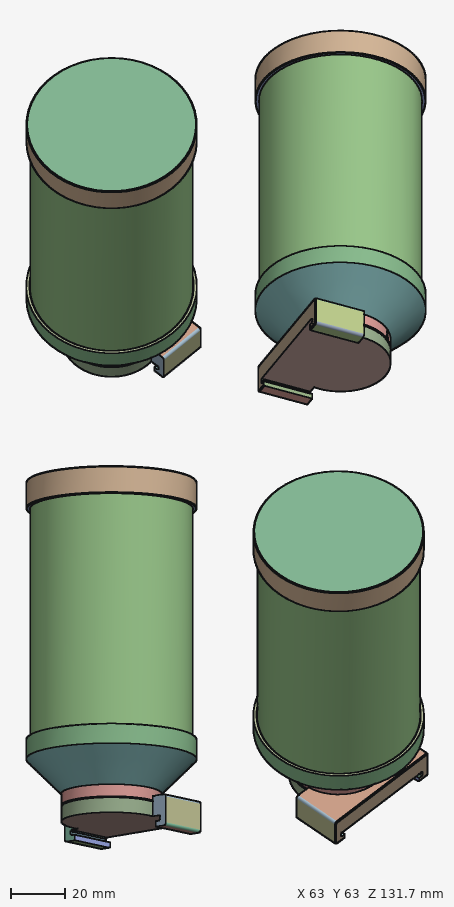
import cadquery as cq

total_height = 131.7
outer_diameter = 63.0
socket_diameter = 60.2
tube_clearance = 0.2
tube_diameter = socket_diameter - tube_clearance
socket_depth = 7.2
neck_diameter = 37.0

cap_bottom = 121.5
collar_top = 34.9
collar_bottom = 27.5
cone_bottom = 14.6
seam_height = 9.7
base_bottom = 4.1

cap_top_chamfer = 0.4
cap_bottom_chamfer = 0.3
collar_mouth_chamfer = 0.3

seam_gap = 0.4
seam_depth = 0.4

bracket_width = 49.8
bracket_top = 11.7
bracket_front = 2.1
bracket_back = 22.0
bracket_edge = 1.0
back_chamfer = 0.4
hook_top = 2.1
hook_opening = 39.8
slot_width = 44.0
slot_chamfer = 0.5

arrow_angle = 45.0
arrow_top = 14.0
arrow_tip = 10.3
arrow_head_height = 1.2
arrow_head_width = 1.6
arrow_stem_width = 0.33
arrow_depth = 0.3


def cylinder(diameter, bottom, top):
    """Upright cylinder on the common axis."""
    return cq.Workplane("XY").workplane(offset=bottom).circle(diameter / 2).extrude(top - bottom)


def make_cap():
    """Flat lid with chamfered rims and a socket for the tube below."""
    lid = (
        cylinder(outer_diameter, cap_bottom, total_height)
        .faces(">Z")
        .chamfer(cap_top_chamfer)
        .faces("<Z")
        .chamfer(cap_bottom_chamfer)
    )
    return lid.cut(cylinder(socket_diameter, cap_bottom, cap_bottom + socket_depth))


def make_tube():
    """Plain barrel that stands on the collar socket floor and fills the height of both sockets."""
    return cylinder(tube_diameter, collar_top - socket_depth, cap_bottom + socket_depth)


def make_arrow_cutter():
    """Arrow prism that reaches arrow_depth below the surface of the neck."""
    stem = arrow_stem_width / 2
    head = arrow_head_width / 2
    head_base = arrow_tip + arrow_head_height
    arrow = (
        cq.Workplane("XZ", origin=(0, arrow_depth - neck_diameter / 2, 0))
        .moveTo(0, arrow_tip)
        .lineTo(head, head_base)
        .lineTo(stem, head_base)
        .lineTo(stem, arrow_top)
        .lineTo(-stem, arrow_top)
        .lineTo(-stem, head_base)
        .lineTo(-head, head_base)
        .close()
        .extrude(2 * arrow_depth)
    )
    return arrow.rotate((0, 0, 0), (0, 0, 1), -arrow_angle)


def make_funnel():
    """Collar with a socket for the tube, cone, and a neck that narrows just above the seam."""
    outer = outer_diameter / 2
    neck = neck_diameter / 2
    groove = neck - seam_depth
    funnel = (
        cq.Workplane("XZ")
        .moveTo(0, seam_height)
        .lineTo(groove, seam_height)
        .lineTo(groove, seam_height + seam_gap)
        .lineTo(neck, seam_height + seam_gap)
        .lineTo(neck, cone_bottom)
        .lineTo(outer, collar_bottom)
        .lineTo(outer, collar_top)
        .lineTo(0, collar_top)
        .close()
        .revolve(360, (0, 0, 0), (0, 1, 0))
    )
    socket = cylinder(socket_diameter, collar_top - socket_depth, collar_top)
    inner_rim = cq.selectors.RadiusNthSelector(0)
    funnel = funnel.cut(socket).faces(">Z").edges(inner_rim).chamfer(collar_mouth_chamfer)
    return funnel.cut(make_arrow_cutter())


def make_bracket():
    """Plate with a hooked foot along each side, open between the feet."""
    length = bracket_back - bracket_front
    middle = (bracket_front + bracket_back) / 2
    block = (
        cq.Workplane("XY", origin=(0, middle, 0))
        .box(bracket_width, length, bracket_top, centered=(True, True, False))
        .edges("|Y")
        .fillet(bracket_edge)
        .faces(">Y")
        .chamfer(back_chamfer)
    )
    slot = (
        cq.Workplane("XY", origin=(0, middle, hook_top))
        .box(slot_width, length, base_bottom - hook_top, centered=(True, True, False))
        .edges("|Y")
        .chamfer(slot_chamfer)
    )
    opening = cq.Workplane("XY", origin=(0, middle, 0)).box(
        hook_opening, length, base_bottom, centered=(True, True, False)
    )
    return block.cut(slot).cut(opening)


def make_base():
    """Base ring joined to the bracket, with a round recess for the funnel neck."""
    recess = cylinder(neck_diameter, seam_height, bracket_top)
    return cylinder(neck_diameter, base_bottom, seam_height).union(make_bracket()).cut(recess)


cap = make_cap()
tube = make_tube()
funnel = make_funnel()
base = make_base()

result = cq.Compound.makeCompound([cap.val(), tube.val(), funnel.val(), base.val()])